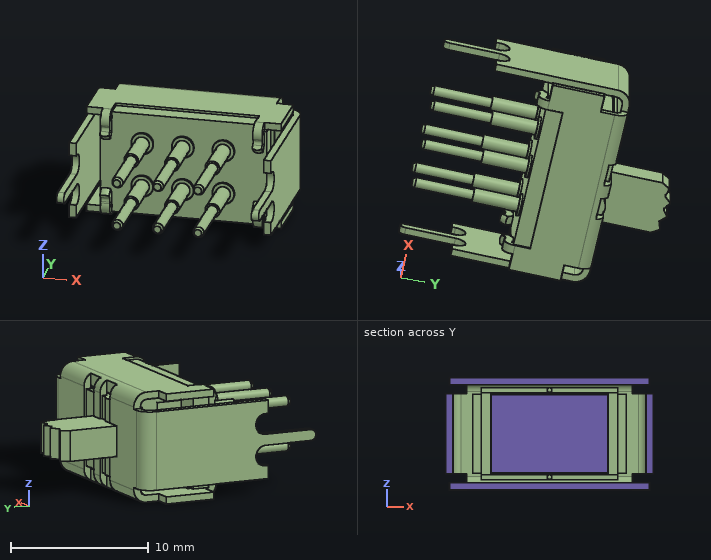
import cadquery as cq
import math


sheet = 0.55
cage_half_x = 15.15 / 2
cage_half_z = 8.23 / 2
bend_radius = 1.01
leg_bend_radius = 1.09
plate_half_x = 6.07
ear_half_x = 7.3
ear_back_y = -2.03
ear_front_y = -5.9
window_half_x = 5.37

leg_half_z = 2.93
leg_shoulder_y = -10.2
tip_y = -14.08
tongue_half_z = 0.41
relief_radius = 1.52 / 2
relief_back_y = -9.2

claw_radius = 1.6 / 2
claw_inner_radius = 0.4 / 2
claw_inward_angle = math.radians(20)
claw_straight_length = 0.122
claw_throat_radius = 0.32
claw_flare_angle = math.radians(42)
claw_flare_length = 0.4
claw_tip_thickness = 0.62
claw_tip_crown = 0.11
claw_bite = 0.02

notch_spacing = 2.65
notch_width = 1.62

base_half_x = 6.23
base_half_z = 3.44
base_ledge_half_z = 3.93
base_back_y = -4.73
base_front_y = -6.0

pin_pitch_x = 3.05
pin_row_z = 1.67
pin_group_x = -0.02
flange_diameter = 1.63
flange_front_y = -6.16
shaft_diameter = 1.09
shaft_front_y = -9.54
pin_diameter = 0.8
pin_chamfer_length = 0.23
pin_chamfer_depth = 0.122

carrier_half_x = 5.0
carrier_half_z = 3.36
carrier_back_y = -0.17
carrier_shoulder_y = -0.92
carrier_step_y = -2.45
rim_half_x = 5.6
rim_back_y = -0.71
core_half_x = 4.28
core_half_z = 2.87
arm_front_y = -4.32
arm_thickness = 0.38
nose_radius = 0.178
detent_radius = 2.03 / 2
detent_x = -1.6

handle_x = -1.25
handle_half_x = 1.97
handle_half_z = 1.15
handle_shoulder_y = 3.8
handle_corner = (1.62, 4.4)
handle_outer_valley = (1.0, 4.19)
handle_peak = (0.55, 4.7)
handle_centre_valley = (0, 4.3)


def box(x0, x1, y0, y1, z0, z1):
    """Axis-aligned block between two opposite corners."""
    return cq.Workplane("XY").box(x1 - x0, y1 - y0, z1 - z0, centered=False).translate((x0, y0, z0))


def symmetric_box(half_x, y0, y1, half_z):
    """Block centred on X = 0 and Z = 0."""
    return box(-half_x, half_x, y0, y1, -half_z, half_z)


def mirrored(body, plane):
    """A body together with its mirror image."""
    return body.union(body.mirror(plane))


def bent_channel(outer_half, front_y, radius, half_length):
    """Sheet bent into a U around the Z direction, open toward -Y, with rounded back corners."""

    def rounded_block(half_width, back_y, corner_radius):
        block = box(-half_width, half_width, front_y, back_y, -half_length, half_length)
        return block.edges("|Z and >Y").fillet(corner_radius)

    outer = rounded_block(outer_half, 0, radius)
    return outer.cut(rounded_block(outer_half - sheet, -sheet, radius - sheet))


def plates():
    """Upper and lower plates joined by the back wall, with ears and windows."""
    body = bent_channel(cage_half_z, ear_front_y, bend_radius, ear_half_x)
    body = body.rotate((0, 0, 0), (0, 1, 0), 90)
    trim = box(plate_half_x, ear_half_x, ear_back_y, 0, -cage_half_z, cage_half_z)
    body = body.cut(mirrored(trim, "YZ"))
    return body.cut(symmetric_box(window_half_x, ear_front_y, base_back_y, cage_half_z))


def legs():
    """Side legs joined by the back wall, ending in wings and a rounded tongue."""
    body = bent_channel(cage_half_x, tip_y, leg_bend_radius, leg_half_z)
    relief_y = relief_back_y - relief_radius
    relief_z = tongue_half_z + relief_radius
    relief = (
        cq.Workplane("YZ")
        .center(relief_y, relief_z)
        .circle(relief_radius)
        .extrude(cage_half_x, both=True)
        .union(box(-cage_half_x, cage_half_x, tip_y, relief_y, tongue_half_z, relief_z + relief_radius))
        .union(box(-cage_half_x, cage_half_x, tip_y, leg_shoulder_y, tongue_half_z, leg_half_z))
    )
    body = body.cut(mirrored(relief, "XY"))
    tongue_tip = (
        cq.Workplane("YZ")
        .center(tip_y + tongue_half_z, 0)
        .circle(tongue_half_z)
        .extrude(cage_half_x, both=True)
    )
    tip_zone = symmetric_box(cage_half_x, tip_y, tip_y + tongue_half_z, tongue_half_z)
    return body.cut(tip_zone.cut(tongue_tip))


def claw():
    """Hook that curls over the base front, lies against it and flares outward to a crowned tip."""
    width = plate_half_x - window_half_x
    inward = claw_inward_angle
    flare = claw_flare_angle
    inward_direction = cq.Vector(0, math.sin(inward), -math.cos(inward))
    inward_normal = cq.Vector(0, -math.cos(inward), -math.sin(inward))
    flare_direction = cq.Vector(0, -math.sin(flare), -math.cos(flare))
    flare_normal = cq.Vector(0, math.cos(flare), -math.sin(flare))

    hook_centre = cq.Vector(0, ear_front_y, cage_half_z - claw_radius)
    hook_front = hook_centre + cq.Vector(0, -claw_radius, 0)
    hook_end = hook_centre + inward_normal * claw_radius
    throat_start = hook_end + inward_direction * claw_straight_length
    throat_centre = throat_start + inward_normal * claw_throat_radius
    throat_back = throat_centre + cq.Vector(0, claw_throat_radius, 0)
    throat_end = throat_centre + flare_normal * claw_throat_radius
    tip_front = throat_end + flare_direction * claw_flare_length
    tip_back = tip_front + flare_normal * claw_tip_thickness

    back_y = base_front_y + claw_bite
    flare_start = tip_back - flare_direction * ((back_y - tip_back.y) / math.sin(flare))
    inner_top_z = cage_half_z - sheet
    inner_middle = (ear_front_y - claw_inner_radius, inner_top_z - claw_inner_radius)
    inner_end = (ear_front_y, inner_top_z - 2 * claw_inner_radius)

    def flat(point):
        return (point.y, point.z)

    hook = (
        cq.Workplane("YZ", origin=(window_half_x, 0, 0))
        .moveTo(ear_front_y, cage_half_z)
        .threePointArc(flat(hook_front), flat(hook_end))
        .lineTo(*flat(throat_start))
        .threePointArc(flat(throat_back), flat(throat_end))
        .lineTo(*flat(tip_front))
        .lineTo(*flat(tip_back))
        .lineTo(*flat(flare_start))
        .lineTo(back_y, inner_end[1])
        .lineTo(*inner_end)
        .threePointArc(inner_middle, (ear_front_y, inner_top_z))
        .close()
        .extrude(width)
    )
    crown_top = tip_front + cq.Vector((window_half_x + plate_half_x) / 2, 0, 0)
    tip_corners = (
        cq.Workplane(cq.Plane(crown_top, xDir=(1, 0, 0), normal=flare_normal))
        .moveTo(-width / 2, -claw_tip_crown)
        .threePointArc((0, 0), (width / 2, -claw_tip_crown))
        .lineTo(width / 2, claw_tip_crown)
        .lineTo(-width / 2, claw_tip_crown)
        .close()
        .extrude(claw_tip_thickness)
    )
    return hook.cut(tip_corners)


def notches():
    """Openings through the back wall on both sides of the centre."""
    x = notch_spacing / 2
    notch = box(x - notch_width / 2, x + notch_width / 2, -sheet, 0, -cage_half_z, cage_half_z)
    return mirrored(notch, "YZ")


def base():
    """Block that carries the pins; its ledges stand in the plate windows."""
    body = symmetric_box(base_half_x, base_front_y, base_back_y, base_half_z)
    return body.union(symmetric_box(window_half_x, base_front_y, base_back_y, base_ledge_half_z))


def pin(x, z):
    """Stepped terminal pin with a flange and a chamfered tip."""
    tip_radius = pin_diameter / 2
    shaft_radius = shaft_diameter / 2
    flange_radius = flange_diameter / 2
    profile = [
        (0, base_back_y),
        (flange_radius, base_back_y),
        (flange_radius, flange_front_y),
        (shaft_radius, flange_front_y),
        (shaft_radius, shaft_front_y),
        (tip_radius, shaft_front_y),
        (tip_radius, tip_y + pin_chamfer_length),
        (tip_radius - pin_chamfer_depth, tip_y),
        (0, tip_y),
    ]
    return cq.Workplane("XY").polyline(profile).close().revolve(360).translate((x, 0, z))


def carrier():
    """Inner block behind the back wall, with two arms over a core that reaches the base."""
    fill_half_x = (notch_spacing + notch_width) / 2
    body = symmetric_box(carrier_half_x, carrier_step_y, carrier_shoulder_y, carrier_half_z)
    body = body.union(symmetric_box(core_half_x, base_back_y, carrier_step_y, core_half_z))
    body = body.union(symmetric_box(rim_half_x, carrier_shoulder_y, rim_back_y, core_half_z))
    body = body.union(symmetric_box(fill_half_x, rim_back_y, carrier_back_y, core_half_z))

    arm_inner_z = carrier_half_z - arm_thickness
    arm = box(-carrier_half_x, carrier_half_x, arm_front_y, carrier_step_y, arm_inner_z, carrier_half_z)
    nose = cq.Workplane("XY").sphere(nose_radius)
    nose = nose.translate((0, arm_front_y, carrier_half_z - arm_thickness / 2))
    body = body.union(mirrored(arm.union(nose), "XY"))

    detent = cq.Workplane("XY").circle(detent_radius).extrude(core_half_z, both=True)
    return body.union(detent.translate((detent_x, -detent_radius, 0)))


def handle():
    """Slide handle with a serrated end."""
    half_outline = [
        (handle_half_x, carrier_shoulder_y),
        (handle_half_x, handle_shoulder_y),
        handle_corner,
        handle_outer_valley,
        handle_peak,
        handle_centre_valley,
    ]
    other_half = [(-x, y) for x, y in reversed(half_outline[:-1])]
    outline = half_outline + other_half
    body = cq.Workplane("XY").polyline(outline).close().extrude(handle_half_z, both=True)
    return body.translate((handle_x, 0, 0))


cage = plates().union(legs()).cut(notches())
cage = cage.union(mirrored(mirrored(claw(), "YZ"), "XY"))

result = cage.union(base()).union(carrier()).union(handle())
for column in (-1, 0, 1):
    for row in (-1, 1):
        result = result.union(pin(pin_group_x + column * pin_pitch_x, row * pin_row_z))